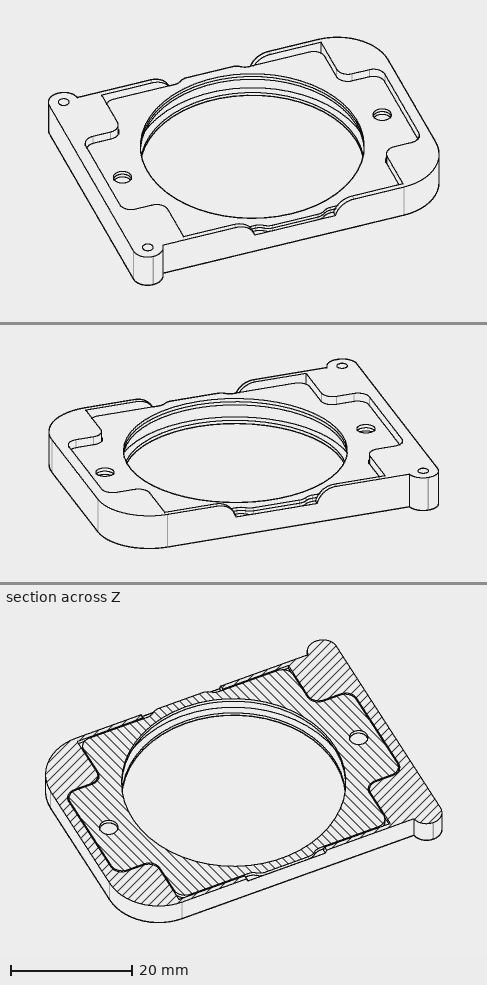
import cadquery as cq
import math


wall_width = 40.3
back_y = 28.1
front_y = -28.35
housing_height = 6.1
back_corner_radius = 9.0
boss_radius = 2.5
boss_flat = 0.1
overall_width = 44.6
bore_diameter = 39.4
ledge_diameter = 36.9
ledge_height = 0.6

dome_diameter = 1.75
dome_height = 0.35

recess_width = 38.6
recess_length = 38.6
recess_tongue_width = 19.85
recess_tongue_length = 52.6
recess_floor = 3.5
corner_radius = 2.0

window_top_length = 20.8
window_edge_radius = 3.4

plate_count = 2
plate_thickness = 0.59
plate_gap = 0.1
plate_width = recess_width - 2 * plate_gap
plate_length = recess_length - 2 * plate_gap
plate_tongue_width = recess_tongue_width - 2 * plate_gap
plate_tongue_length = recess_tongue_length - 2 * plate_gap
plate_hole_diameter = ledge_diameter
tab_mid_length = 10.6

screw_diameter = 3.0
screw_y = 22.85

boss_x = overall_width / 2 - boss_radius
boss_y = front_y + boss_radius


def cylinder(diameter, bottom, top):
    """Upright cylinder on the bore axis."""
    return cq.Workplane("XY").workplane(offset=bottom).circle(diameter / 2).extrude(top - bottom)


def screw_holes():
    """The two screw holes as cutters that pass through everything."""
    centers = [(0, screw_y), (0, -screw_y)]
    return cq.Workplane("XY").pushPoints(centers).circle(screw_diameter / 2).extrude(housing_height)


def cross_block(width, length, tongue_width, tongue_length, bottom, height):
    """Rectangle with sharp corners, plus a tongue at each end with rounded corners."""
    plane = cq.Workplane("XY").workplane(offset=bottom)
    tongue = plane.rect(tongue_width, tongue_length).extrude(height).edges("|Z").fillet(corner_radius)
    block = plane.rect(width, length).extrude(height).union(tongue)
    margin = corner_radius / 10
    for side in (-1, 1):
        for end in (-1, 1):
            x = side * tongue_width / 2
            y = end * length / 2
            inner_corner = cq.selectors.BoxSelector(
                (x - margin, y - margin, bottom - margin),
                (x + margin, y + margin, bottom + height + margin),
            )
            block = block.edges("|Z").edges(inner_corner).fillet(corner_radius)
    return block


def housing_blank():
    """Solid housing outline with round back corners and the two front bosses."""
    half_width = wall_width / 2
    half_overall = overall_width / 2
    upper_arc_y = boss_y + boss_flat
    wall_meet_y = upper_arc_y + math.sqrt(boss_radius**2 - (half_width - boss_x) ** 2)
    return (
        cq.Workplane("XY")
        .moveTo(-boss_x, front_y)
        .lineTo(boss_x, front_y)
        .radiusArc((half_overall, boss_y), -boss_radius)
        .lineTo(half_overall, upper_arc_y)
        .radiusArc((half_width, wall_meet_y), -boss_radius)
        .lineTo(half_width, back_y - back_corner_radius)
        .radiusArc((half_width - back_corner_radius, back_y), -back_corner_radius)
        .lineTo(-half_width + back_corner_radius, back_y)
        .radiusArc((-half_width, back_y - back_corner_radius), -back_corner_radius)
        .lineTo(-half_width, wall_meet_y)
        .radiusArc((-half_overall, upper_arc_y), -boss_radius)
        .lineTo(-half_overall, boss_y)
        .radiusArc((-boss_x, front_y), -boss_radius)
        .close()
        .extrude(housing_height)
    )


def finger_window():
    """Cutter across both side walls, with rounded upper edges and its bottom on the recess floor."""
    depth = housing_height - recess_floor
    arc_run = math.sqrt(window_edge_radius**2 - (window_edge_radius - depth) ** 2)
    half_top = window_top_length / 2
    half_bottom = half_top - arc_run
    return (
        cq.Workplane("YZ")
        .moveTo(-half_top, housing_height)
        .radiusArc((-half_bottom, recess_floor), window_edge_radius)
        .lineTo(half_bottom, recess_floor)
        .radiusArc((half_top, housing_height), window_edge_radius)
        .close()
        .extrude(overall_width / 2, both=True)
    )


def dome(x):
    """Spherical cap at the middle of the boss top at x."""
    radius = dome_diameter / 2
    return (
        cq.Workplane("XZ")
        .lineTo(radius, 0)
        .radiusArc((0, dome_height), -(radius**2 + dome_height**2) / (2 * dome_height))
        .close()
        .revolve(360, (0, 0), (0, 1))
        .translate((x, boss_y + boss_flat / 2, housing_height))
    )


def make_housing():
    recess = cross_block(
        recess_width,
        recess_length,
        recess_tongue_width,
        recess_tongue_length,
        recess_floor,
        housing_height - recess_floor,
    )
    body = housing_blank().cut(recess).cut(finger_window())
    body = body.cut(cylinder(ledge_diameter, 0, housing_height))
    body = body.cut(cylinder(bore_diameter, ledge_height, housing_height))
    body = body.cut(screw_holes())
    for x in (-boss_x, boss_x):
        body = body.union(dome(x))
    return body


def side_tabs(bottom):
    """Strip that widens the plate to the outside of the housing walls, with S-shaped ends."""
    inner_x = plate_width / 2
    outer_x = wall_width / 2
    middle_x = (inner_x + outer_x) / 2
    arc_depth = middle_x - inner_x
    arc_run = math.sqrt(corner_radius**2 - (corner_radius - arc_depth) ** 2)
    middle_y = tab_mid_length / 2
    root_y = middle_y + arc_run
    tip_y = middle_y - arc_run
    return (
        cq.Workplane("XY")
        .workplane(offset=bottom)
        .moveTo(inner_x, -root_y)
        .radiusArc((middle_x, -middle_y), corner_radius)
        .radiusArc((outer_x, -tip_y), -corner_radius)
        .lineTo(outer_x, tip_y)
        .radiusArc((middle_x, middle_y), -corner_radius)
        .radiusArc((inner_x, root_y), corner_radius)
        .lineTo(-inner_x, root_y)
        .radiusArc((-middle_x, middle_y), corner_radius)
        .radiusArc((-outer_x, tip_y), -corner_radius)
        .lineTo(-outer_x, -tip_y)
        .radiusArc((-middle_x, -middle_y), -corner_radius)
        .radiusArc((-inner_x, -root_y), corner_radius)
        .close()
        .extrude(plate_thickness)
    )


def make_plate(bottom):
    top = bottom + plate_thickness
    plate = cross_block(
        plate_width, plate_length, plate_tongue_width, plate_tongue_length, bottom, plate_thickness
    )
    plate = plate.faces("<X or >X").edges("|Z").fillet(corner_radius)
    plate = plate.union(side_tabs(bottom))
    return plate.cut(cylinder(plate_hole_diameter, bottom, top)).cut(screw_holes())


housing = make_housing()
plates = [make_plate(recess_floor + level * plate_thickness) for level in range(plate_count)]

result = cq.Compound.makeCompound([housing.val(), *[plate.val() for plate in plates]])